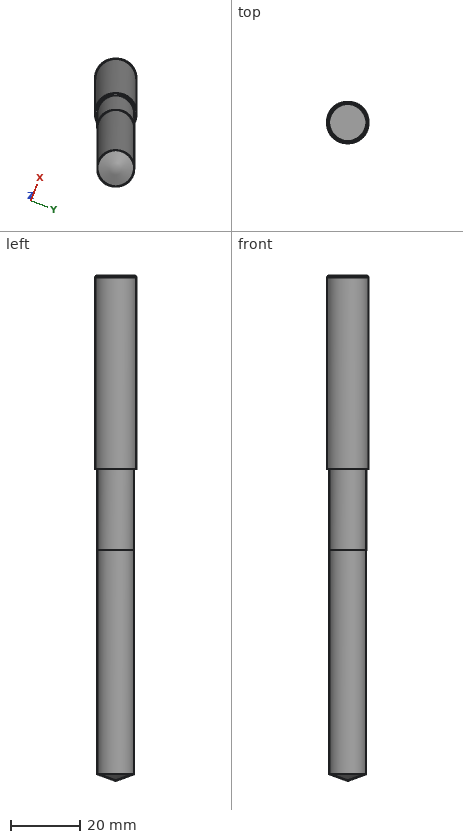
import cadquery as cq
import math

total_length = 146.0
shank_diameter = 12.0
shank_length = 56.0
shank_chamfer = 0.6
drill_diameter = 10.7
neck_diameter = drill_diameter
neck_length = 23.3
point_angle = 140.0

shank_radius = shank_diameter / 2
neck_radius = neck_diameter / 2
drill_radius = drill_diameter / 2
point_height = drill_radius / math.tan(math.radians(point_angle / 2))
shank_bottom = total_length - shank_length
neck_bottom = shank_bottom - neck_length

AXIS_START = (0, 0, 0)
AXIS_END = (0, 1, 0)


def make_shank():
    """Chamfered cylindrical shank with a thinner neck below it, turned about Z."""
    profile = (
        cq.Workplane("YZ")
        .moveTo(0, neck_bottom)
        .lineTo(-neck_radius, neck_bottom)
        .lineTo(-neck_radius, shank_bottom)
        .lineTo(-shank_radius, shank_bottom)
        .lineTo(-shank_radius, total_length - shank_chamfer)
        .lineTo(-shank_radius + shank_chamfer, total_length)
        .lineTo(0, total_length)
        .close()
    )
    return profile.revolve(360, AXIS_START, AXIS_END)


def make_cutting_part():
    """Cutting cylinder that meets the neck at its top and ends in a conical drill point."""
    profile = (
        cq.Workplane("XZ")
        .moveTo(0, 0)
        .lineTo(-drill_radius, point_height)
        .lineTo(-drill_radius, neck_bottom)
        .lineTo(0, neck_bottom)
        .close()
    )
    return profile.revolve(360, AXIS_START, AXIS_END)


shank = make_shank()
cutting_part = make_cutting_part()

result = cq.Compound.makeCompound([shank.val(), cutting_part.val()])